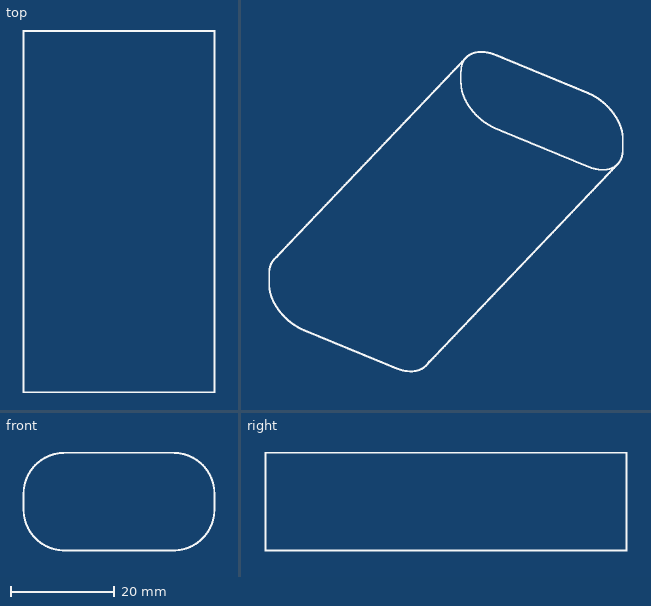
import cadquery as cq

width = 37.0
length = 70.0
height = 19.0

edge_radius = 8.0

result = cq.Workplane("XY").box(width, length, height).edges("|Y").fillet(edge_radius)